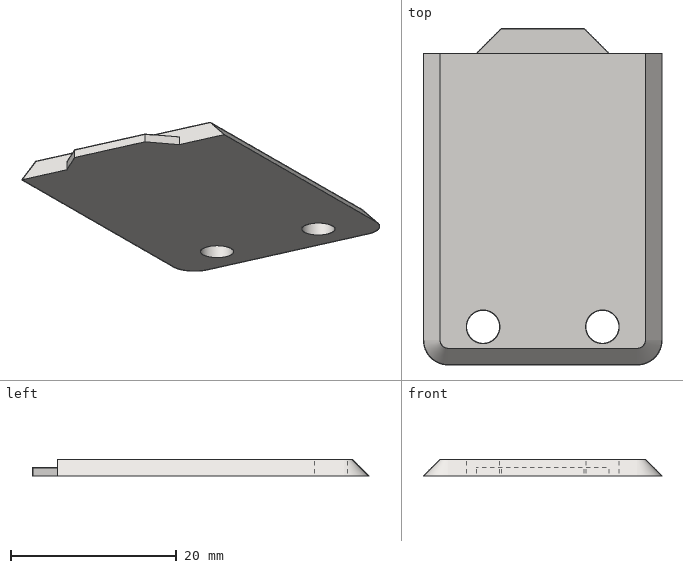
import cadquery as cq

plate_width = 28.8
plate_length = 37.6
plate_thickness = 2.0
corner_radius = 3.0
bevel_angle = 45.0

tongue_length = 3.0
tongue_root_width = 16.0
tongue_tip_width = tongue_root_width - 2 * tongue_length
tongue_thickness = plate_thickness / 2

hole_diameter = 4.0
hole_spacing = plate_width / 2
hole_front_distance = 4.6


def make_plate():
    """Plate with bevelled sides and front, rounded front corners and an upright rear face."""
    trim_length = 2 * plate_thickness
    block_length = plate_length + trim_length
    half_width = plate_width / 2
    block = (
        cq.Workplane("XY")
        .moveTo(-half_width + corner_radius, 0)
        .lineTo(half_width - corner_radius, 0)
        .radiusArc((half_width, corner_radius), -corner_radius)
        .lineTo(half_width, block_length)
        .lineTo(-half_width, block_length)
        .lineTo(-half_width, corner_radius)
        .radiusArc((-half_width + corner_radius, 0), -corner_radius)
        .close()
        .extrude(plate_thickness, taper=bevel_angle)
    )
    envelope = cq.Workplane("XY").box(
        plate_width, plate_length, plate_thickness, centered=(True, False, False)
    )
    return block.intersect(envelope)


def make_tongue():
    """Thin tongue that narrows away from the rear face of the plate."""
    tip_y = plate_length + tongue_length
    return (
        cq.Workplane("XY")
        .moveTo(-tongue_root_width / 2, plate_length)
        .lineTo(tongue_root_width / 2, plate_length)
        .lineTo(tongue_tip_width / 2, tip_y)
        .lineTo(-tongue_tip_width / 2, tip_y)
        .close()
        .extrude(tongue_thickness)
    )


def make_hole_cutters():
    """Cylinders for the pair of through holes."""
    centers = [(side * hole_spacing / 2, hole_front_distance) for side in (-1, 1)]
    return (
        cq.Workplane("XY")
        .pushPoints(centers)
        .circle(hole_diameter / 2)
        .extrude(plate_thickness)
    )


result = make_plate().union(make_tongue()).cut(make_hole_cutters())